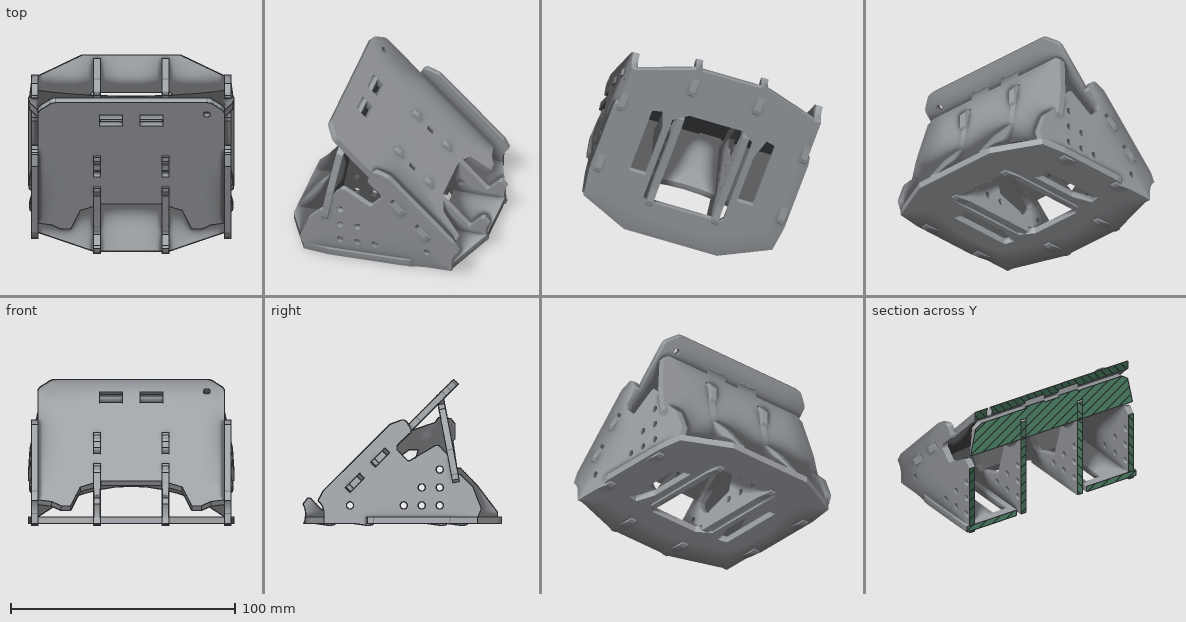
import cadquery as cq
import math


SHEET = 3.0

WALL_INNER = 41.5
WALL_OUTER = WALL_INNER + SHEET
RIB_CENTRE = 15.3
RIB_INNER = RIB_CENTRE - SHEET / 2
RIB_OUTER = RIB_CENTRE + SHEET / 2

HOOK_HEIGHT = 0.93
HOOK_CHAMFER = 0.45
HOOK_END_HEIGHT = 0.6
HOOK_CREST = 2.4
HOOK_OVERHANG = 2.4

BASE_REAR = 44.275
BASE_FRONT = -43.4
BASE_HALF_WIDTH = 45.93
REAR_WALL_HOOK = 19.9
FRONT_WALL_HOOK = -12.9
REAR_RIB_HOOK = 29.1
FRONT_RIB_HOOK = -29.9
BASE_HOOK_LENGTH = 9.0
WALL_SLOT_REAR = REAR_WALL_HOOK - HOOK_OVERHANG
WALL_SLOT_FRONT = REAR_WALL_HOOK - BASE_HOOK_LENGTH
WALL_NOTCH = -16.1
RIB_NOTCH = FRONT_RIB_HOOK - HOOK_OVERHANG
WINDOW_REAR = 27.4
WINDOW_FRONT = -20.0
RIB_FOOT_FRONT = -17.0
RIB_TIP = -BASE_REAR

HOLE_DIAMETER = 3.1
HOLE_PITCH = 8.0
HOLE_Y = 0.7
HOLE_Z = 8.1
HOLE_STEPS = [(0, 0), (1, 0), (2, 0), (1, 1), (2, 1), (2, 2), (-3, 0)]

SLOPE = math.radians(45)
PANEL_TOP_Y = 22.88
PANEL_TOP_Z = 64.33
PANEL_LENGTH = 79.8
PANEL_UPPER_HALF_WIDTH = 41.6
PANEL_CORNERS = [(35.3, 0), (PANEL_UPPER_HALF_WIDTH, -5.6)]
PANEL_CORNER_RADIUS = 4.0
PANEL_HOLE_DIAMETER = 3.0
PANEL_HOLE_X = 33.7
PANEL_HOLE_DOWN = 7.5
BRACE_SLOT_INNER = 4.0
BRACE_SLOT_OUTER = 14.25
BRACE_SLOT_TOP = 7.9
BRACE_SLOT_BOTTOM = 14.75
TAB_SLOT_STARTS = [43.3, 59.3]
TAB_PLAY = 1.73
TAB_LENGTH = 4.9
UPPER_RIB_HOOK = 33.6
RIB_HOOK_SPACING = 19.5
LOWER_RIB_HOOK = UPPER_RIB_HOOK + RIB_HOOK_SPACING
RIB_HOOK_LENGTH = 5.7
RIB_HOOK_SHOULDER = (4.0, 0.6)
RIB_NECK_LENGTH = 6.9
RIB_SLOT_PLAY = 3.8

LEAN = math.radians(10.75)
BRACE_FOOT_Y = 27.55
BRACE_FOOT_HEIGHT = 3.4
BRACE_ARCH_HEIGHT = 17.2
BRACE_EAR_HEIGHT = 18.8
BRACE_TOP_HEIGHT = 54.2
BRACE_TAB_HEIGHT = 58.3
BRACE_SLOT_LOW = 39.8
BRACE_SLOT_HIGH = 48.9

panel_plane = cq.Plane(
    origin=(0, PANEL_TOP_Y, PANEL_TOP_Z),
    xDir=(1, 0, 0),
    normal=(0, -math.sin(SLOPE), math.cos(SLOPE)),
)
brace_plane = cq.Plane(
    origin=(0, BRACE_FOOT_Y, 0),
    xDir=(1, 0, 0),
    normal=(0, -math.cos(LEAN), -math.sin(LEAN)),
)


def block(x_range, y_range, z_range):
    """Box between the given limits."""
    size = [high - low for low, high in (x_range, y_range, z_range)]
    return cq.Workplane("XY").box(*size, centered=False).translate((x_range[0], y_range[0], z_range[0]))


def mirrored(points):
    """Closed outline from its +X half, listed from one end of the symmetry line to the other."""
    return points + [(-x, y) for x, y in reversed(points) if x != 0]


def panel_block(x_range, down_range):
    """Box through the panel sheet between two distances down the slope."""
    return (
        cq.Workplane(panel_plane)
        .center(sum(x_range) / 2, -sum(down_range) / 2)
        .rect(x_range[1] - x_range[0], down_range[1] - down_range[0])
        .extrude(-SHEET)
    )


def brace_block(x_range, height_range):
    """Box through the brace sheet between two heights along it."""
    return (
        cq.Workplane(brace_plane)
        .center(sum(x_range) / 2, sum(height_range) / 2)
        .rect(x_range[1] - x_range[0], height_range[1] - height_range[0])
        .extrude(SHEET / 2, both=True)
    )


def on_slope(down, lift=0.0):
    """(Y, Z) at a distance down the panel and a lift above its upper surface."""
    y = PANEL_TOP_Y - down * math.cos(SLOPE) - lift * math.sin(SLOPE)
    z = PANEL_TOP_Z - down * math.sin(SLOPE) + lift * math.cos(SLOPE)
    return (y, z)


def arch_height(x):
    """Height along the brace of its arched lower edge at a station x."""
    rise = BRACE_ARCH_HEIGHT - BRACE_FOOT_HEIGHT
    radius = (WALL_INNER**2 + rise**2) / (2 * rise)
    return BRACE_ARCH_HEIGHT - radius + math.sqrt(radius**2 - x**2)


def hook_outline(length):
    """Hook as (distance from its end, height) points, standing on height 0."""
    return [
        (0, 0),
        (0, HOOK_END_HEIGHT - HOOK_CHAMFER),
        (HOOK_CHAMFER, HOOK_END_HEIGHT),
        (HOOK_CREST, HOOK_HEIGHT),
        (length, 0),
    ]


def upright(points, x_start):
    """Sheet with the given (Y, Z) outline, from x_start towards +X."""
    return cq.Workplane("YZ", origin=(x_start, 0, 0)).polyline(points).close().extrude(SHEET)


def base_hook(end_y, x_start):
    """Hook under the base whose overhanging end points to the rear."""
    points = [(end_y - along, -height) for along, height in hook_outline(BASE_HOOK_LENGTH)]
    return upright(points, x_start)


def round_holes(x_start):
    """Pins that cut the shared hole pattern out of an upright sheet."""
    centres = [(HOLE_Y + HOLE_PITCH * i, HOLE_Z + HOLE_PITCH * k) for i, k in HOLE_STEPS]
    plane = cq.Workplane("YZ", origin=(x_start, 0, 0))
    return plane.pushPoints(centres).circle(HOLE_DIAMETER / 2).extrude(SHEET)


def make_base():
    half = [
        (0, BASE_REAR),
        (21.85, BASE_REAR),
        (44.3, 33.55),
        (BASE_HALF_WIDTH, 21.3),
        (BASE_HALF_WIDTH, FRONT_WALL_HOOK),
        (45.5, -15.4),
        (44.9, WALL_NOTCH),
        (WALL_INNER, WALL_NOTCH),
        (WALL_INNER, -35.0),
        (RIB_OUTER, BASE_FRONT),
        (0, BASE_FRONT),
    ]
    base = cq.Workplane("XY").polyline(mirrored(half)).close().extrude(SHEET)

    middle_window = [
        (0, WINDOW_REAR),
        (17.5, WINDOW_REAR),
        (18.9, 26.0),
        (18.9, -15.6),
        (12.5, WINDOW_FRONT),
        (0, WINDOW_FRONT),
    ]
    base = base.cut(cq.Workplane("XY").polyline(mirrored(middle_window)).close().extrude(SHEET))

    side_window = [(21.5, 15.0), (29.0, 15.0), (29.0, -17.2), (24.5, -18.3), (21.5, -9.0)]
    for side in (-1, 1):
        window = [(side * x, y) for x, y in side_window]
        base = base.cut(cq.Workplane("XY").polyline(window).close().extrude(SHEET))
        wall_x = sorted((side * WALL_INNER, side * WALL_OUTER))
        base = base.cut(block(wall_x, (WALL_SLOT_FRONT, WALL_SLOT_REAR), (0, SHEET)))
        rib_x = sorted((side * RIB_INNER, side * RIB_OUTER))
        base = base.cut(block(rib_x, (BASE_FRONT, RIB_NOTCH), (0, SHEET)))
    return base


def make_wall(x_start):
    outline = (
        cq.Workplane("YZ", origin=(x_start, 0, 0))
        .moveTo(33.8, SHEET)
        .lineTo(35.3, 6.6)
        .lineTo(31.5, 16.4)
        .lineTo(26.0, 21.8)
        .lineTo(25.0, 21.9)
        .lineTo(20.2, 30.8)
        .lineTo(16.2, 34.95)
        .lineTo(14.8, 34.86)
        .lineTo(3.35, 28.1)
        .lineTo(2.4, 28.1)
        .lineTo(-2.25, 32.9)
        .threePointArc((-2.2, 34.4), (-1.2, 35.9))
        .lineTo(3.8, 40.5)
        .lineTo(3.97, 41.9)
        .lineTo(1.95, 45.6)
        .lineTo(0.7, 46.3)
        .lineTo(-0.2, 46.3)
        .lineTo(-5.55, 44.3)
        .lineTo(-35.3, 14.6)
        .lineTo(-37.65, 10.2)
        .threePointArc((-35.62, 7.67), (-34.9, 4.5))
        .lineTo(-34.9, 0)
        .lineTo(WALL_NOTCH, 0)
        .lineTo(WALL_NOTCH, SHEET)
        .lineTo(WALL_SLOT_FRONT, SHEET)
        .lineTo(WALL_SLOT_FRONT, 0)
        .lineTo(WALL_SLOT_REAR, 0)
        .lineTo(WALL_SLOT_REAR, SHEET)
        .close()
    )
    wall = outline.extrude(SHEET)
    for end_y in (REAR_WALL_HOOK, FRONT_WALL_HOOK):
        wall = wall.union(base_hook(end_y, x_start))
    wall = wall.cut(round_holes(x_start))
    across = (x_start, x_start + SHEET)
    wall = wall.cut(brace_block(across, (BRACE_EAR_HEIGHT, BRACE_TOP_HEIGHT)))
    for start in TAB_SLOT_STARTS:
        wall = wall.cut(panel_block(across, (start, start + TAB_PLAY + TAB_LENGTH)))
    return wall


def rib_hook(end, x_start):
    """Hook above the panel whose overhanging end points up the slope."""
    profile = hook_outline(RIB_HOOK_LENGTH)
    profile.insert(-1, RIB_HOOK_SHOULDER)
    points = [on_slope(end + along, height) for along, height in profile]
    return upright(points, x_start)


def make_rib(x_start):
    upper_neck = UPPER_RIB_HOOK + HOOK_OVERHANG
    upper_neck_end = upper_neck + RIB_NECK_LENGTH
    neck_end_y, _ = on_slope(upper_neck_end)
    panel_under_rise = PANEL_TOP_Z - PANEL_TOP_Y - SHEET / math.cos(SLOPE)
    lower_neck = LOWER_RIB_HOOK + HOOK_OVERHANG
    groove_down = 81.65
    outline = (
        cq.Workplane("YZ", origin=(x_start, 0, 0))
        .moveTo(42.5, SHEET)
        .lineTo(42.5, 5.1)
        .lineTo(33.5, 17.0)
        .lineTo(26.0, 24.7)
        .lineTo(24.4, 24.8)
        .lineTo(22.6, 36.9)
        .lineTo(23.6, 38.0)
        .lineTo(23.6, 44.4)
        .lineTo(21.65, 46.9)
        .lineTo(16.2, 47.4)
        .lineTo(14.6, 45.1)
        .lineTo(*on_slope(29.0, -SHEET))
        .lineTo(*on_slope(upper_neck, -SHEET))
        .lineTo(*on_slope(upper_neck))
        .lineTo(*on_slope(upper_neck_end))
        .lineTo(neck_end_y, neck_end_y + panel_under_rise)
        .lineTo(*on_slope(lower_neck, -SHEET))
        .lineTo(*on_slope(lower_neck))
        .lineTo(*on_slope(groove_down))
        .lineTo(-35.8, 6.1)
        .lineTo(-40.9, 11.3)
        .lineTo(-42.1, 11.5)
        .lineTo(RIB_TIP, 8.75)
        .threePointArc((-43.1, 4.6), (-44.0, 0))
        .lineTo(RIB_NOTCH, 0)
        .lineTo(RIB_NOTCH, SHEET)
        .lineTo(RIB_FOOT_FRONT, SHEET)
        .lineTo(RIB_FOOT_FRONT, 0)
        .lineTo(WINDOW_REAR, 0)
        .lineTo(WINDOW_REAR, SHEET)
        .close()
    )
    rib = outline.extrude(SHEET)
    for end_y in (REAR_RIB_HOOK, FRONT_RIB_HOOK):
        rib = rib.union(base_hook(end_y, x_start))
    for end in (UPPER_RIB_HOOK, LOWER_RIB_HOOK):
        rib = rib.union(rib_hook(end, x_start))

    opening = [
        (7.1, 32.9),
        (3.1, 32.9),
        (0.2, 30.8),
        (-18.5, 15.5),
        (-18.5, 13.4),
        (-16.0, 8.8),
        (-12.5, 7.1),
        (-11.7, 8.1),
        (1.0, 12.0),
    ]
    rib = rib.cut(upright(opening, x_start))
    rib = rib.cut(round_holes(x_start))
    across = (x_start, x_start + SHEET)
    rib = rib.cut(brace_block(across, (arch_height(RIB_OUTER), BRACE_SLOT_LOW)))
    return rib


def panel_tab(side, start):
    """Tab through a wall slot, hooked over the outside of the wall at its lower end."""
    neck_end = start + TAB_LENGTH
    hook_end = neck_end + HOOK_OVERHANG
    neck = panel_block(sorted((side * WALL_INNER, side * WALL_OUTER)), (start, neck_end))
    points = [
        (side * (WALL_OUTER + height), along - hook_end)
        for along, height in hook_outline(hook_end - start)
    ]
    return neck.union(cq.Workplane(panel_plane).polyline(points).close().extrude(-SHEET))


def make_panel():
    half = [
        (0, 0),
        *PANEL_CORNERS,
        (PANEL_UPPER_HALF_WIDTH, -23.6),
        (WALL_INNER, -28.2),
        (WALL_INNER, -76.0),
        (35.6, -77.05),
        (31.3, -PANEL_LENGTH),
        (27.0, -PANEL_LENGTH),
        (22.7, -67.9),
        (13.4, -64.0),
        (0, -64.0),
    ]
    panel = cq.Workplane(panel_plane).polyline(mirrored(half)).close().extrude(-SHEET)
    for side in (-1, 1):
        for x, y in PANEL_CORNERS:
            corner = panel_plane.toWorldCoords((side * x, y, -SHEET / 2)).toTuple()
            panel = panel.edges(cq.NearestToPointSelector(corner)).fillet(PANEL_CORNER_RADIUS)
    for side in (-1, 1):
        brace_x = sorted((side * BRACE_SLOT_INNER, side * BRACE_SLOT_OUTER))
        panel = panel.cut(panel_block(brace_x, (BRACE_SLOT_TOP, BRACE_SLOT_BOTTOM)))
        rib_x = sorted((side * RIB_INNER, side * RIB_OUTER))
        upper_slot = UPPER_RIB_HOOK + HOOK_OVERHANG
        upper_slot_end = upper_slot + RIB_NECK_LENGTH + RIB_SLOT_PLAY
        panel = panel.cut(panel_block(rib_x, (upper_slot, upper_slot_end)))
        panel = panel.cut(panel_block(rib_x, (LOWER_RIB_HOOK + HOOK_OVERHANG, PANEL_LENGTH)))
        for start in TAB_SLOT_STARTS:
            panel = panel.union(panel_tab(side, start + TAB_PLAY))
    hole = (
        cq.Workplane(panel_plane)
        .center(PANEL_HOLE_X, -PANEL_HOLE_DOWN)
        .circle(PANEL_HOLE_DIAMETER / 2)
        .extrude(-SHEET)
    )
    return panel.cut(hole)


def make_brace():
    side_edge = [
        (WALL_INNER, BRACE_FOOT_HEIGHT),
        (WALL_INNER, BRACE_EAR_HEIGHT),
        (WALL_OUTER, BRACE_EAR_HEIGHT),
        (45.9, 20.0),
        (45.9, 22.5),
        (45.2, 33.6),
        (41.3, 52.0),
        (38.0, BRACE_TOP_HEIGHT),
    ]
    other_edge = [(-x, height) for x, height in reversed(side_edge)]
    outline = cq.Workplane(brace_plane).polyline(side_edge + other_edge)
    outline = outline.threePointArc((0, BRACE_ARCH_HEIGHT), side_edge[0]).close()
    brace = outline.extrude(SHEET / 2, both=True)
    for side in (-1, 1):
        tab_x = sorted((side * BRACE_SLOT_INNER, side * BRACE_SLOT_OUTER))
        brace = brace.union(brace_block(tab_x, (BRACE_TOP_HEIGHT, BRACE_TAB_HEIGHT)))
        rib_x = sorted((side * RIB_INNER, side * RIB_OUTER))
        brace = brace.cut(brace_block(rib_x, (BRACE_SLOT_LOW, BRACE_SLOT_HIGH)))
    return brace


base = make_base()
walls = [make_wall(x_start) for x_start in (-WALL_OUTER, WALL_INNER)]
ribs = [make_rib(x_start) for x_start in (-RIB_OUTER, RIB_INNER)]
panel = make_panel()
brace = make_brace()

bodies = [base, *walls, *ribs, panel, brace]
result = cq.Compound.makeCompound([body.val() for body in bodies])